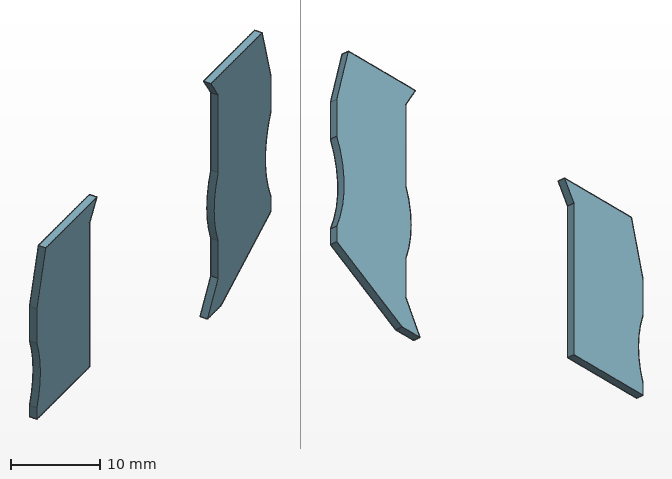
import cadquery as cq

span = 51.6
thickness = 1.0
outer_y = span / 2

plate_width = 11.65
inner_y = outer_y - plate_width
shoulder_inset = 1.95
shoulder_height = 7.25
lip_reach = 1.6
lip_height = 2.6

tall_height = 32.25
tall_outer_height = 26.05
toe_reach = 2.35
toe_width = 3.05
toe_top_depth = 28.05
tall_scoop_center = 18.05
tall_scoop_half_height = 5.95
tall_scoop_depth = 1.25
bulge_center = 18.1
bulge_half_height = 4.75
bulge_depth = 0.9

short_height = 22.6
short_scoop_center = 16.5
short_scoop_half_height = 4.5
short_scoop_depth = 0.75


def start_outline(side):
    """Trace from the lip root over the top edge to the foot of the shoulder."""
    return (
        cq.Workplane("YZ", origin=(-thickness / 2, 0, 0))
        .moveTo(side * inner_y, -lip_height)
        .lineTo(side * (inner_y - lip_reach), 0)
        .lineTo(side * (outer_y - shoulder_inset), 0)
        .lineTo(side * outer_y, -shoulder_height)
    )


def add_scoop(outline, side, center, half_height, depth):
    """Trace down to a shallow arc cut into the outer edge, and around it."""
    return (
        outline.lineTo(side * outer_y, -center + half_height)
        .threePointArc(
            (side * (outer_y - depth), -center),
            (side * outer_y, -center - half_height),
        )
    )


def make_tall_plate():
    """Plate with a scooped outer edge, bulged inner edge and pointed toe."""
    side = 1
    toe_tip_y = inner_y - toe_reach
    outline = add_scoop(
        start_outline(side), side, tall_scoop_center, tall_scoop_half_height, tall_scoop_depth
    )
    return (
        outline.lineTo(side * outer_y, -tall_outer_height)
        .lineTo(side * (toe_tip_y + toe_width), -tall_height)
        .lineTo(side * toe_tip_y, -tall_height)
        .lineTo(side * inner_y, -toe_top_depth)
        .lineTo(side * inner_y, -bulge_center - bulge_half_height)
        .threePointArc(
            (side * (inner_y - bulge_depth), -bulge_center),
            (side * inner_y, -bulge_center + bulge_half_height),
        )
        .close()
        .extrude(thickness)
    )


def make_short_plate():
    """Plate with a scooped outer edge and a square bottom."""
    side = -1
    outline = add_scoop(
        start_outline(side), side, short_scoop_center, short_scoop_half_height, short_scoop_depth
    )
    return (
        outline.lineTo(side * outer_y, -short_height)
        .lineTo(side * inner_y, -short_height)
        .close()
        .extrude(thickness)
    )


tall_plate = make_tall_plate()
short_plate = make_short_plate()

result = cq.Compound.makeCompound([tall_plate.val(), short_plate.val()])